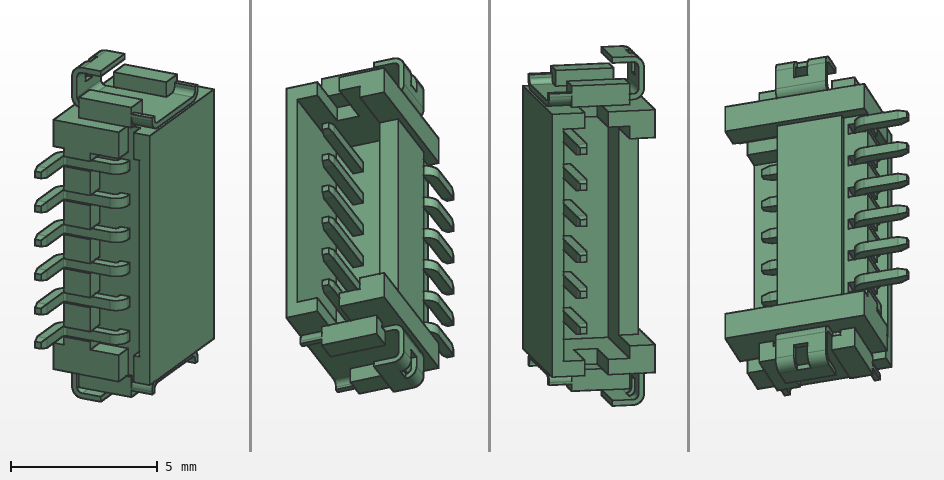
import cadquery as cq


HOUSING_WIDTH = 3.6
HOUSING_DEPTH = 4.99
HOUSING_HALF_LENGTH = 4.58
FLANGE_INNER = 3.61
WALL_FACE = 0.21
WALL_START = 0.87
WALL_END = 3.2
COMB_FACE = 0.4
COMB_TOP = 1.41
LEAD_FLOOR = 0.7
FLANGE_TOP = 2.5
CHANNEL_END = 2.98
CHANNEL_END_MIDDLE = 3.2
LIP_SETBACK = 0.2

CAVITY_START = 0.89
CAVITY_FLOOR = 1.46
CAVITY_HALF_LENGTH = 4.05
END_SLOT_START = 1.64
END_SLOT_END = 2.45

PIN_COUNT = 6
PIN_PITCH = 1.25
PIN_SIZE = 0.36
PIN_TIP_SIZE = 0.23
PIN_TIP_LENGTH = 0.3
PIN_INNER_BEND = 0.1
PIN_OUTER_BEND = PIN_INNER_BEND + PIN_SIZE
PIN_TOP = 2.56
PIN_CROSS_FACE = 0.11
LEAD_END = -1.51
CONTACT_END = 4.42

CLIP_CENTRE = 2.28
SHEET = 0.2
CLIP_TIP = 6.08
CLIP_LEG = 1.1
CLIP_HALF_WIDTH = 0.9
CLIP_BEND = 2 * SHEET
CLIP_SLOT_WIDTH = 0.49
CLIP_SLOT_FLOOR = 5.3
PLATE_START = 0.78
PLATE_END = 3.49
PLATE_NECK_HALF_WIDTH = 1.2
PLATE_CORNER = 0.2
WING_HALF_WIDTH = 1.71
WING_BEND = 2 * SHEET
WING_TOP = 5.08

BLOCK_START = 0.68
BLOCK_END = 2.7
BLOCK_TOP = 5.32
NOTCH_END = 1.09


def box(x0, x1, y0, y1, z0, z1):
    """Box between two opposite corners."""
    return cq.Workplane("XY").box(x1 - x0, y1 - y0, z1 - z0, centered=False).translate((x0, y0, z0))


def symmetric_box(x0, x1, y0, y1, half_length):
    """Box centred on Z = 0."""
    return box(x0, x1, y0, y1, -half_length, half_length)


def make_housing():
    length = HOUSING_HALF_LENGTH
    middle = FLANGE_INNER
    body = symmetric_box(0, HOUSING_WIDTH, 0, HOUSING_DEPTH, length)

    body = body.cut(symmetric_box(0, COMB_FACE, 0, WALL_START, middle))
    body = body.cut(symmetric_box(0, WALL_FACE, WALL_START, WALL_END, middle))
    body = body.cut(symmetric_box(0, CAVITY_START, WALL_END, HOUSING_DEPTH, middle))

    body = body.cut(symmetric_box(COMB_TOP, CHANNEL_END_MIDDLE, 0, LEAD_FLOOR, middle))
    body = body.cut(symmetric_box(FLANGE_TOP, CHANNEL_END, 0, LEAD_FLOOR, length))
    body = body.cut(symmetric_box(CHANNEL_END, HOUSING_WIDTH, 0, LIP_SETBACK, length))

    body = body.cut(
        symmetric_box(CAVITY_START, CHANNEL_END_MIDDLE, CAVITY_FLOOR, HOUSING_DEPTH, CAVITY_HALF_LENGTH)
    )
    return body.cut(symmetric_box(END_SLOT_START, END_SLOT_END, WALL_END, HOUSING_DEPTH, length))


def make_pin_tip(x_centre, y_base, direction):
    """Tapered square tip, pointing along +Y (direction 1) or -Y (direction -1)."""
    plane = cq.Plane(origin=(x_centre, y_base, 0), xDir=(1, 0, 0), normal=(0, direction, 0))
    base = cq.Workplane(plane).rect(PIN_SIZE, PIN_SIZE)
    return base.workplane(offset=PIN_TIP_LENGTH).rect(PIN_TIP_SIZE, PIN_TIP_SIZE).loft()


def make_pin():
    """Pin running from the lead, across the lead recess and into the cavity."""
    cross_back = PIN_CROSS_FACE + PIN_SIZE
    contact_start = PIN_TOP - PIN_SIZE
    lead_base = LEAD_END + PIN_TIP_LENGTH
    contact_base = CONTACT_END - PIN_TIP_LENGTH
    pin = (
        cq.Workplane("XY")
        .moveTo(0, lead_base)
        .lineTo(PIN_SIZE, lead_base)
        .lineTo(PIN_SIZE, PIN_CROSS_FACE)
        .lineTo(PIN_TOP, PIN_CROSS_FACE)
        .lineTo(PIN_TOP, contact_base)
        .lineTo(contact_start, contact_base)
        .lineTo(contact_start, cross_back)
        .lineTo(0, cross_back)
        .close()
        .extrude(PIN_SIZE / 2, both=True)
    )

    def round_edge(solid, x, y, radius):
        return solid.edges(cq.selectors.NearestToPointSelector((x, y, 0))).fillet(radius)

    pin = round_edge(pin, 0, cross_back, PIN_OUTER_BEND)
    pin = round_edge(pin, PIN_SIZE, PIN_CROSS_FACE, PIN_INNER_BEND)
    pin = round_edge(pin, PIN_TOP, PIN_CROSS_FACE, PIN_OUTER_BEND)
    pin = round_edge(pin, contact_start, cross_back, PIN_INNER_BEND)
    pin = pin.union(make_pin_tip(PIN_SIZE / 2, lead_base, -1))
    return pin.union(make_pin_tip(PIN_TOP - PIN_SIZE / 2, contact_base, 1))


def make_clip_hook():
    """C-shaped solder tab, slotted through its outer bend."""
    base = HOUSING_HALF_LENGTH
    y0 = CLIP_CENTRE - CLIP_HALF_WIDTH
    y1 = CLIP_CENTRE + CLIP_HALF_WIDTH
    outer = box(0, CLIP_LEG, y0, y1, base, CLIP_TIP)
    outer = outer.edges("|Y and <X").fillet(CLIP_BEND)
    inner = box(SHEET, CLIP_LEG, y0, y1, base + SHEET, CLIP_TIP - SHEET)
    inner = inner.edges("|Y and <X").fillet(CLIP_BEND - SHEET)
    slot = box(
        0, CLIP_BEND,
        CLIP_CENTRE - CLIP_SLOT_WIDTH / 2, CLIP_CENTRE + CLIP_SLOT_WIDTH / 2,
        CLIP_SLOT_FLOOR, CLIP_TIP,
    )
    return outer.cut(inner).cut(slot)


def make_clip_plate():
    """Base plate with a rounded neck and two upturned wings."""
    base = HOUSING_HALF_LENGTH
    neck = box(
        PLATE_START, PLATE_END,
        CLIP_CENTRE - PLATE_NECK_HALF_WIDTH, CLIP_CENTRE + PLATE_NECK_HALF_WIDTH,
        base, base + SHEET,
    )
    neck = neck.edges("|Z and <X").fillet(PLATE_CORNER)
    wing = WING_HALF_WIDTH
    outer = box(NOTCH_END, PLATE_END, CLIP_CENTRE - wing, CLIP_CENTRE + wing, base, WING_TOP)
    outer = outer.edges("|X and <Z").fillet(WING_BEND)
    wing -= SHEET
    inner = box(NOTCH_END, PLATE_END, CLIP_CENTRE - wing, CLIP_CENTRE + wing, base + SHEET, WING_TOP)
    inner = inner.edges("|X and <Z").fillet(WING_BEND - SHEET)
    return neck.union(outer.cut(inner))


def make_blocks():
    """Pair of retaining blocks, undercut around the neck of the clip plate."""
    base = HOUSING_HALF_LENGTH
    pair = box(
        BLOCK_START, BLOCK_END,
        CLIP_CENTRE - WING_HALF_WIDTH, CLIP_CENTRE + WING_HALF_WIDTH,
        base, BLOCK_TOP,
    )
    gap = box(
        BLOCK_START, BLOCK_END,
        CLIP_CENTRE - CLIP_HALF_WIDTH, CLIP_CENTRE + CLIP_HALF_WIDTH,
        base, BLOCK_TOP,
    )
    notch = box(
        BLOCK_START, NOTCH_END,
        CLIP_CENTRE - PLATE_NECK_HALF_WIDTH, CLIP_CENTRE + PLATE_NECK_HALF_WIDTH,
        base, base + SHEET,
    )
    return pair.cut(gap).cut(notch)


result = make_housing()

comb_slot = symmetric_box(COMB_FACE, COMB_TOP, 0, LEAD_FLOOR, PIN_SIZE / 2)
pin = make_pin()
for index in range(PIN_COUNT):
    z = (index - (PIN_COUNT - 1) / 2) * PIN_PITCH
    result = result.cut(comb_slot.translate((0, 0, z)))
    result = result.union(pin.translate((0, 0, z)))

end_fitting = make_blocks().union(make_clip_plate()).union(make_clip_hook())
result = result.union(end_fitting).union(end_fitting.mirror("XY"))